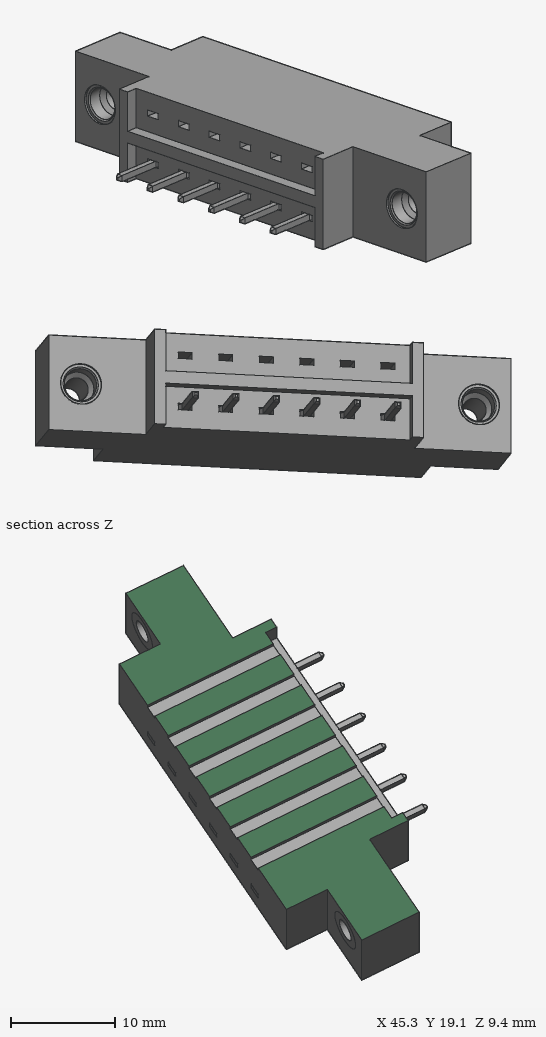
import cadquery as cq


height = 9.4
housing_depth = 15.2
front_width = 26.33
back_width = 32.1
ear_front_y = 4.25
ear_back_y = 10.65
ear_span = 45.3
ear_end_draft = 0.05

recess_width = 24.15
recess_depth = 1.22
rib_height = 1.22

contact_count = 6
contact_row_length = 19.85
contact_pitch = contact_row_length / (contact_count - 1)
row_offset = 2.55
cavity_width = 1.35
cavity_height = 0.65

pin_width = 0.6
pin_length = 3.9
tip_length = 0.35
tip_inset = 0.2
shoulder_setback = 0.1
shoulder_y = recess_depth + shoulder_setback
shoulder_length = 0.9

bushing_spacing = 38.95
bushing_radius = 2.0
sleeve_setback = 0.23
mouth_radius = 1.7
mouth_chamfer = 0.15
bore_radius = mouth_radius - mouth_chamfer
bore_depth = 1.5
hole_radius = 1.15
funnel_length = bore_radius - hole_radius


def block(width, y_start, y_end, z_start, z_end):
    """Box centred on X = 0 between the given Y and Z limits."""
    return (
        cq.Workplane("XY")
        .box(width, y_end - y_start, z_end - z_start, centered=(True, False, False))
        .translate((0, y_start, z_start))
    )


def contact_positions():
    """X of every contact, from left to right."""
    return [-contact_row_length / 2 + i * contact_pitch for i in range(contact_count)]


def ear_bar():
    """Bar that forms both ears; its right end leans in toward the front."""
    half_span = ear_span / 2
    outline = [
        (-half_span, ear_front_y),
        (half_span - ear_end_draft, ear_front_y),
        (half_span, ear_back_y),
        (-half_span, ear_back_y),
    ]
    return cq.Workplane("XY").polyline(outline).close().extrude(height / 2, both=True)


def make_housing():
    half_height = height / 2
    body = block(front_width, 0, ear_front_y, -half_height, half_height)
    body = body.union(ear_bar())
    body = body.union(block(back_width, ear_back_y, housing_depth, -half_height, half_height))

    body = body.cut(block(recess_width, 0, recess_depth, rib_height / 2, half_height))
    body = body.cut(block(recess_width, 0, recess_depth, -half_height, -rib_height / 2))

    for row_z in (-row_offset, row_offset):
        cavity = block(
            cavity_width, 0, housing_depth, row_z - cavity_height / 2, row_z + cavity_height / 2
        )
        for x in contact_positions():
            body = body.cut(cavity.translate((x, 0, 0)))

    for x in bushing_positions():
        seat = cq.Workplane("XZ").center(x, 0).circle(bushing_radius).extrude(-housing_depth)
        body = body.cut(seat)
    return body


def make_contact(x):
    """Rectangular pin with a tapered tip; it widens into a blade that fills its cavity."""
    half_pin = pin_width / 2
    half_blade = cavity_width / 2
    blade_y = shoulder_y + shoulder_length
    shank = [
        (-half_pin, tip_length - pin_length),
        (half_pin, tip_length - pin_length),
        (half_pin, shoulder_y),
        (half_blade, blade_y),
        (half_blade, housing_depth),
        (-half_blade, housing_depth),
        (-half_blade, blade_y),
        (-half_pin, shoulder_y),
    ]
    contact = cq.Workplane("XY").polyline(shank).close().extrude(cavity_height / 2, both=True)
    tip = (
        cq.Workplane("XZ", origin=(0, tip_length - pin_length, 0))
        .rect(pin_width, cavity_height)
        .workplane(offset=tip_length)
        .rect(pin_width - 2 * tip_inset, cavity_height - 2 * tip_inset)
        .loft()
    )
    return contact.union(tip).translate((x, 0, -row_offset))


def bushing_positions():
    """X of the two bushings."""
    return [-bushing_spacing / 2, bushing_spacing / 2]


def make_bushing(x):
    """Sleeve through the ear with a chamfered bore that narrows to a through hole."""
    face_y = ear_front_y + sleeve_setback
    funnel_y = face_y + bore_depth
    profile = [
        (bushing_radius, face_y),
        (mouth_radius, face_y),
        (bore_radius, face_y + mouth_chamfer),
        (bore_radius, funnel_y),
        (hole_radius, funnel_y + funnel_length),
        (hole_radius, ear_back_y),
        (bushing_radius, ear_back_y),
    ]
    sleeve = cq.Workplane("XY").polyline(profile).close().revolve(360, (0, 0, 0), (0, 1, 0))
    return sleeve.translate((x, 0, 0))


housing = make_housing()
contacts = [make_contact(x) for x in contact_positions()]
bushings = [make_bushing(x) for x in bushing_positions()]

result = cq.Compound.makeCompound(
    [housing.val()]
    + [contact.val() for contact in contacts]
    + [bushing.val() for bushing in bushings]
)